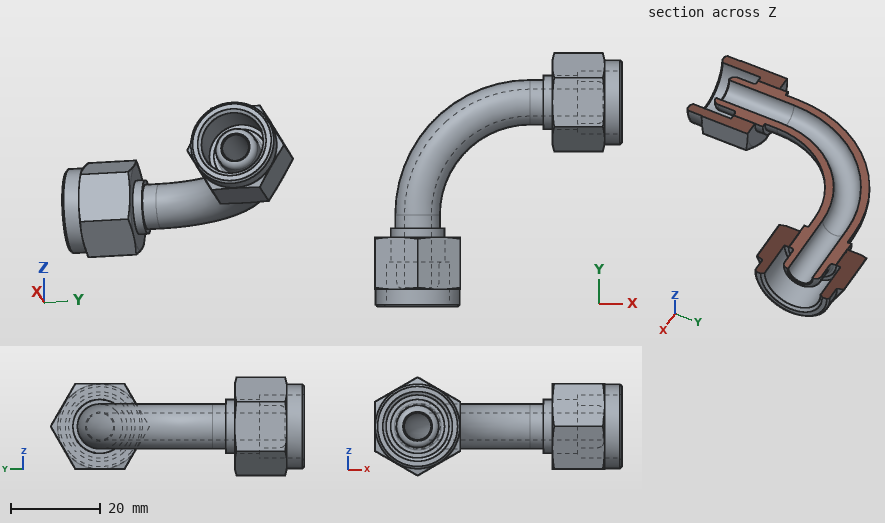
import cadquery as cq
import math

LEG_LENGTH = 45.5
BEND_RADIUS = 25.0
TUBE_RADIUS = 5.0
BORE_RADIUS = 3.0

COLLAR_START = 28.0
COLLAR_RADIUS = 6.0
NOSE_TIP = 41.4
NOSE_RADIUS = 4.7
NOSE_EDGE_RADIUS = 3.25
NOSE_ROUNDING = NOSE_RADIUS - NOSE_EDGE_RADIUS
ROOT_FILLET = 0.5
BORE_COUNTERSINK = NOSE_EDGE_RADIUS - BORE_RADIUS

NUT_START = 30.0
HEX_END = 41.6
HEX_FLATS = 19.0
HEX_CORNER_RADIUS = HEX_FLATS / math.sqrt(3)
HEX_HALF_TURN = 30.0
HEX_CHAMFER_ANGLE = 15.0
HEX_CHAMFER_DEPTH = (HEX_CORNER_RADIUS - HEX_FLATS / 2) * math.tan(math.radians(HEX_CHAMFER_ANGLE))
SLEEVE_RADIUS = 9.4
SLEEVE_CHAMFER = 0.5
SOCKET_DEPTH = 10.0
SOCKET_FLOOR = LEG_LENGTH - SOCKET_DEPTH
SOCKET_RADIUS = 7.0
SOCKET_CHAMFER_WIDTH = 0.75
SOCKET_CHAMFER_DEPTH = 0.55

LEG_SWAP_NORMAL = cq.Vector(1, 1, 0)


def revolve_about_leg(profile):
    """Revolve a profile of (radius, -distance along the leg) about the Y axis."""
    return profile.close().revolve(360, (0, 0, 0), (0, 1, 0))


def on_x_leg(body):
    """Return the copy of a -Y leg body that lies on the +X leg."""
    return body.mirror(LEG_SWAP_NORMAL, (0, 0, 0))


def bend(radius):
    """Quarter-turn rod of the given radius, joining the two legs."""
    return (
        cq.Workplane("XZ", origin=(0, -BEND_RADIUS, 0))
        .circle(radius)
        .revolve(90, (BEND_RADIUS, 1, 0), (BEND_RADIUS, 0, 0))
    )


def tube_end():
    """Straight stub, collar and rounded nose, all with the bore through them."""
    rounding_middle = NOSE_ROUNDING * math.sqrt(0.5)
    rounding_start = NOSE_TIP - NOSE_ROUNDING
    profile = (
        cq.Workplane("XY")
        .moveTo(BORE_RADIUS, -BEND_RADIUS)
        .lineTo(TUBE_RADIUS, -BEND_RADIUS)
        .lineTo(TUBE_RADIUS, -COLLAR_START)
        .lineTo(COLLAR_RADIUS, -COLLAR_START)
        .lineTo(COLLAR_RADIUS, -SOCKET_FLOOR)
        .lineTo(NOSE_RADIUS + ROOT_FILLET, -SOCKET_FLOOR)
        .radiusArc((NOSE_RADIUS, -SOCKET_FLOOR - ROOT_FILLET), -ROOT_FILLET)
        .lineTo(NOSE_RADIUS, -rounding_start)
        .threePointArc(
            (NOSE_EDGE_RADIUS + rounding_middle, -rounding_start - rounding_middle),
            (NOSE_EDGE_RADIUS, -NOSE_TIP),
        )
        .lineTo(BORE_RADIUS, -NOSE_TIP + BORE_COUNTERSINK)
    )
    return revolve_about_leg(profile)


def elbow_tube():
    """Bent tube with a finished end on each leg."""
    end = tube_end()
    return bend(TUBE_RADIUS).cut(bend(BORE_RADIUS)).union(end).union(on_x_leg(end))


def hexagon():
    """Hexagon with its corners up and down, the end corners turned off by a shallow cone."""
    blank = (
        cq.Workplane("XZ", origin=(0, -NUT_START, 0))
        .polygon(6, 2 * HEX_CORNER_RADIUS)
        .extrude(HEX_END - NUT_START)
        .rotate((0, 0, 0), (0, 1, 0), HEX_HALF_TURN)
    )
    envelope = (
        cq.Workplane("XY")
        .moveTo(0, -NUT_START)
        .lineTo(HEX_FLATS / 2, -NUT_START)
        .lineTo(HEX_CORNER_RADIUS, -NUT_START - HEX_CHAMFER_DEPTH)
        .lineTo(HEX_CORNER_RADIUS, -HEX_END + HEX_CHAMFER_DEPTH)
        .lineTo(HEX_FLATS / 2, -HEX_END)
        .lineTo(0, -HEX_END)
    )
    return blank.intersect(revolve_about_leg(envelope))


def nut():
    """Hexagon and round sleeve with a socket, and a hole that fits the tube's collar."""
    sleeve = (
        cq.Workplane("XZ", origin=(0, -HEX_END, 0))
        .circle(SLEEVE_RADIUS)
        .extrude(LEG_LENGTH - HEX_END)
        .faces("<Y")
        .chamfer(SLEEVE_CHAMFER)
    )
    cavity = (
        cq.Workplane("XY")
        .moveTo(0, -NUT_START)
        .lineTo(COLLAR_RADIUS, -NUT_START)
        .lineTo(COLLAR_RADIUS, -SOCKET_FLOOR)
        .lineTo(SOCKET_RADIUS, -SOCKET_FLOOR)
        .lineTo(SOCKET_RADIUS, -LEG_LENGTH + SOCKET_CHAMFER_DEPTH)
        .lineTo(SOCKET_RADIUS + SOCKET_CHAMFER_WIDTH, -LEG_LENGTH)
        .lineTo(0, -LEG_LENGTH)
    )
    return hexagon().union(sleeve).cut(revolve_about_leg(cavity))


tube = elbow_tube()
y_leg_nut = nut()
x_leg_nut = on_x_leg(y_leg_nut).rotate((0, 0, 0), (1, 0, 0), HEX_HALF_TURN)

result = cq.Compound.makeCompound([tube.solids().val(), y_leg_nut.solids().val(), x_leg_nut.solids().val()])